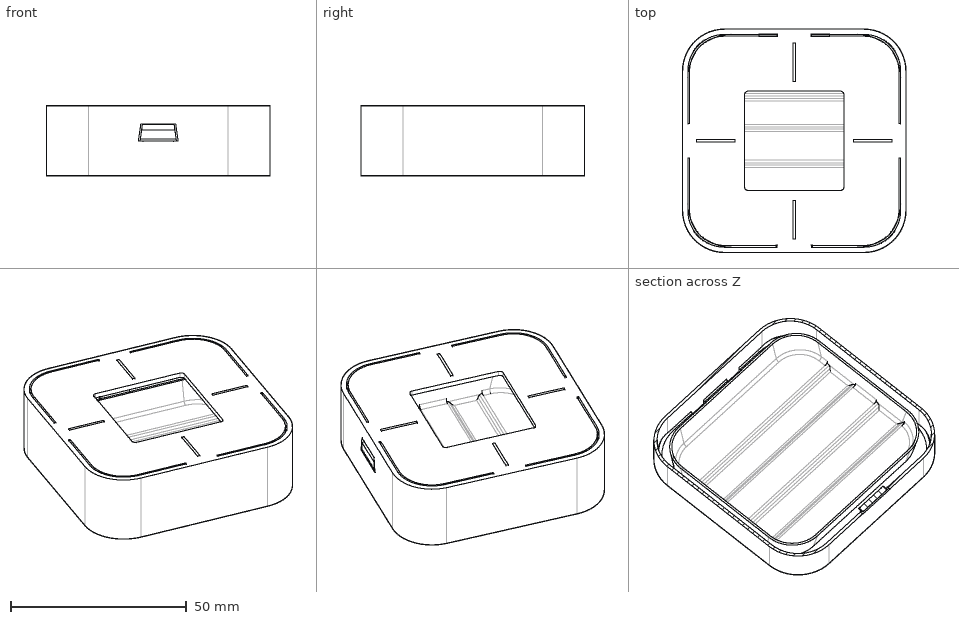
import cadquery as cq
import math

SIZE = 63.6
HEIGHT = 20.0
CORNER_RADIUS = 12.0
LID_THICKNESS = 1.45
SHELL_WALL = 1.0
HALF = SIZE / 2
LID_UNDERSIDE = HEIGHT - LID_THICKNESS

WINDOW_SIZE = 28.25
WINDOW_CORNER_DIAMETER = 2.0

SLOT_INSET = 1.5
SLOT_WIDTH = 0.5
BRIDGE_WIDTH = 9.8

MARKER_LENGTH = 10.95
MARKER_WIDTH = 0.75
MARKER_CENTER_RADIUS = 22.4
MARKER_ANGLES = (0, 90, 180, 270)

OPENING_BOTTOM_Z = 9.9
OPENING_TOP_Z = 14.75
OPENING_BOTTOM_WIDTH = 11.3
OPENING_TOP_WIDTH = 9.9
LATCH_BOTTOM_Z = 10.0
LATCH_TOP_Z = 14.7
LATCH_BOTTOM_WIDTH = 10.3
LATCH_TOP_WIDTH = 9.0
LATCH_DEPTH = 2.15
LATCH_EDGE_CHAMFER = 0.45
RAMP_START_Z = 13.1
RAMP_ANGLE = 51.0
ARM_WIDTH = 8.8

FIT_GAP = 0.05
LAND_Z = 1.8
CUP_TOP_Z = 8.9
CUP_WALL = 0.65
CUP_HALF_X = 28.4
CUP_FLOOR_HALF_Y = 24.7
CUP_CORNER_RADIUS = 9.1
CUP_DRAFT = 12.2
CUP_FLOOR_FILLET = 1.0
PLATE_HALF = HALF - SHELL_WALL - FIT_GAP
PLATE_CORNER_RADIUS = CORNER_RADIUS - SHELL_WALL - FIT_GAP

GROOVE_DEPTH = 1.2
GROOVE_WIDTH = 8.8
GROOVE_CENTERS_Y = (8.0, -10.95)
GROOVE_FILLET = 1.0
GROOVE_SLOPE = 45.0

RIM_HEIGHT = 0.95
RIM_SLOPE = 45.0
RIM_FOOT_HALF = 30.3
RIM_FOOT_CORNER_RADIUS = 12.35

NOTCH_INNER_X = 4.85
NOTCH_OUTER_X = 10.0
NOTCH_DEPTH = 1.3


def rounded_rectangle(half_x, half_y, radius):
    return cq.Sketch().rect(2 * half_x, 2 * half_y).vertices().fillet(radius)


def rounded_block(half_x, half_y, radius, bottom, top):
    section = rounded_rectangle(half_x, half_y, radius)
    return cq.Workplane("XY", origin=(0, 0, bottom)).placeSketch(section).extrude(top - bottom)


def trapezoid(bottom_width, top_width, bottom, top, depth):
    """Trapezoid in the front face, extruded inward along +Y."""
    return (
        cq.Workplane("XZ", origin=(0, -HALF, 0))
        .polyline(
            [
                (-bottom_width / 2, bottom),
                (bottom_width / 2, bottom),
                (top_width / 2, top),
                (-top_width / 2, top),
            ]
        )
        .close()
        .extrude(-depth)
    )


def edge_slots():
    outer = HALF - SLOT_INSET
    inner = outer - SLOT_WIDTH
    outer_radius = CORNER_RADIUS - SLOT_INSET
    ring = rounded_block(outer, outer, outer_radius, LID_UNDERSIDE, HEIGHT).cut(
        rounded_block(inner, inner, outer_radius - SLOT_WIDTH, LID_UNDERSIDE, HEIGHT)
    )
    bridges = cq.Workplane("XY").box(SIZE, BRIDGE_WIDTH, 2 * HEIGHT).union(
        cq.Workplane("XY").box(BRIDGE_WIDTH, SIZE, 2 * HEIGHT)
    )
    return ring.cut(bridges)


def make_marker(angle):
    return (
        cq.Workplane("XY")
        .box(MARKER_LENGTH, MARKER_WIDTH, LID_THICKNESS, centered=(True, True, False))
        .translate((MARKER_CENTER_RADIUS, 0, LID_UNDERSIDE))
        .rotate((0, 0, 0), (0, 0, 1), angle)
    )


def make_shell(markers):
    inside = HALF - SHELL_WALL
    window_half = WINDOW_SIZE / 2
    shell = rounded_block(HALF, HALF, CORNER_RADIUS, 0, HEIGHT)
    shell = shell.cut(rounded_block(inside, inside, CORNER_RADIUS - SHELL_WALL, 0, LID_UNDERSIDE))
    shell = shell.cut(
        rounded_block(window_half, window_half, WINDOW_CORNER_DIAMETER / 2, LID_UNDERSIDE, HEIGHT)
    )
    shell = shell.cut(edge_slots())
    shell = shell.cut(
        trapezoid(OPENING_BOTTOM_WIDTH, OPENING_TOP_WIDTH, OPENING_BOTTOM_Z, OPENING_TOP_Z, SHELL_WALL)
    )
    for marker in markers:
        shell = shell.cut(marker)
    return shell


def cup_block(bottom, top, offset=0.0):
    """Cup volume between two heights, grown sideways by the offset."""

    def outline(z):
        half_x = CUP_HALF_X + offset
        half_y = CUP_FLOOR_HALF_Y + (z - LAND_Z) * math.tan(math.radians(CUP_DRAFT)) + offset
        section = rounded_rectangle(half_x, half_y, CUP_CORNER_RADIUS + offset)
        return section.moved(cq.Location(cq.Vector(0, 0, z)))

    return cq.Workplane("XY").placeSketch(outline(bottom), outline(top)).loft(ruled=True)


def filleted_cup(floor_z):
    return cup_block(floor_z, CUP_TOP_Z).faces("<Z").edges().fillet(CUP_FLOOR_FILLET)


def groove_channel(center_y):
    """Groove cross-section run along X and continued straight up above the floor."""
    middle_z = LAND_Z - GROOVE_DEPTH / 2
    tangent_length = GROOVE_FILLET * math.tan(math.radians(GROOVE_SLOPE / 2))
    arc_center_y = GROOVE_WIDTH / 2 + GROOVE_DEPTH / 2 + tangent_length
    arc_center_z = LAND_Z - GROOVE_FILLET

    def shoulder(angle):
        turn = math.radians(angle)
        return arc_center_y - GROOVE_FILLET * math.sin(turn), arc_center_z + GROOVE_FILLET * math.cos(turn)

    def toe(angle):
        y, z = shoulder(angle)
        return GROOVE_WIDTH - y, 2 * middle_z - z

    def mirrored(point):
        return -point[0], point[1]

    full, half = GROOVE_SLOPE, GROOVE_SLOPE / 2
    return (
        cq.Workplane("YZ", origin=(-HALF, center_y, 0))
        .moveTo(arc_center_y, CUP_TOP_Z)
        .lineTo(*shoulder(0))
        .threePointArc(shoulder(half), shoulder(full))
        .lineTo(*toe(full))
        .threePointArc(toe(half), toe(0))
        .lineTo(*mirrored(toe(0)))
        .threePointArc(mirrored(toe(half)), mirrored(toe(full)))
        .lineTo(*mirrored(shoulder(full)))
        .threePointArc(mirrored(shoulder(half)), mirrored(shoulder(0)))
        .lineTo(-arc_center_y, CUP_TOP_Z)
        .close()
        .extrude(SIZE)
    )


def cup_cavity():
    cavity = filleted_cup(LAND_Z)
    deep_cavity = filleted_cup(LAND_Z - GROOVE_DEPTH)
    for center_y in GROOVE_CENTERS_Y:
        cavity = cavity.union(deep_cavity.intersect(groove_channel(center_y)))
    return cavity


def corner_rim():
    """Raised edge whose sloped inner side only reaches in at the plate corners."""
    rim = rounded_block(PLATE_HALF, PLATE_HALF, PLATE_CORNER_RADIUS, LAND_Z, LAND_Z + RIM_HEIGHT)
    foot = rounded_rectangle(RIM_FOOT_HALF, RIM_FOOT_HALF, RIM_FOOT_CORNER_RADIUS)
    pocket = cq.Workplane("XY", origin=(0, 0, LAND_Z)).placeSketch(foot).extrude(RIM_HEIGHT, taper=-RIM_SLOPE)
    return rim.cut(pocket)


def make_latch():
    latch = trapezoid(LATCH_BOTTOM_WIDTH, LATCH_TOP_WIDTH, LATCH_BOTTOM_Z, LATCH_TOP_Z, LATCH_DEPTH)
    latch = latch.faces("<Y").edges("<Z").chamfer(LATCH_EDGE_CHAMFER)
    ramp_rise = LATCH_TOP_Z - RAMP_START_Z
    ramp_run = ramp_rise * math.tan(math.radians(RAMP_ANGLE))
    ramp = (
        cq.Workplane("YZ", origin=(-HALF, -HALF, 0))
        .polyline([(0, RAMP_START_Z), (ramp_run, LATCH_TOP_Z), (0, LATCH_TOP_Z)])
        .close()
        .extrude(SIZE)
    )
    arm_depth = LATCH_DEPTH - (HALF - PLATE_HALF)
    arm = cq.Workplane("XY").box(ARM_WIDTH, arm_depth, RAMP_START_Z, centered=(True, False, False))
    return latch.cut(ramp).union(arm.translate((0, -PLATE_HALF, 0)))


def make_tray():
    tray = rounded_block(PLATE_HALF, PLATE_HALF, PLATE_CORNER_RADIUS, 0, LAND_Z)
    tray = tray.union(corner_rim())
    tray = tray.union(cup_block(LAND_Z, CUP_TOP_Z, CUP_WALL))
    tray = tray.cut(cup_cavity())
    tray = tray.union(make_latch())
    notch_width = NOTCH_OUTER_X - NOTCH_INNER_X
    notch_center_x = (NOTCH_INNER_X + NOTCH_OUTER_X) / 2
    for side in (-1, 1):
        notch = cq.Workplane("XY").box(notch_width, 2 * NOTCH_DEPTH, SIZE)
        tray = tray.cut(notch.translate((side * notch_center_x, PLATE_HALF, 0)))
    return tray


markers = [make_marker(angle) for angle in MARKER_ANGLES]
shell = make_shell(markers)
tray = make_tray()

result = cq.Compound.makeCompound([shell.val(), tray.val(), *[marker.val() for marker in markers]])